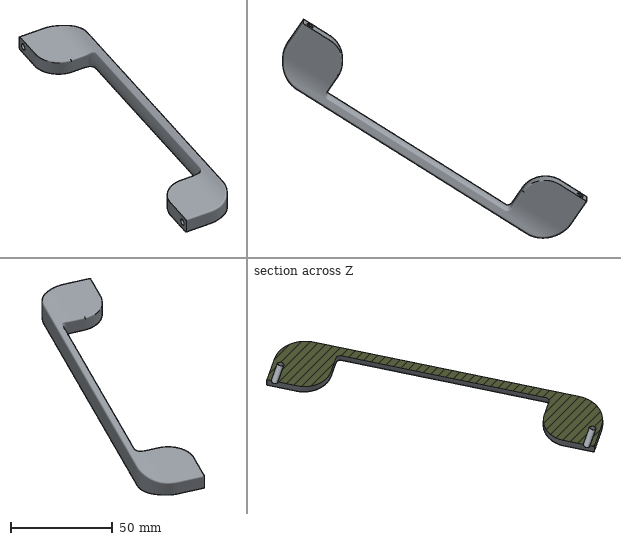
import cadquery as cq
import math

length = 168.0
depth = 30.0
bar_height = 12.0
foot_height = 8.0

outer_corner_radius = 16.0
foot_width = 29.5
foot_corner_radius = 13.75

flat_depth = 19.3
flare_radius = 24.7

grip_crest_y = 24.6
grip_face_radius = 10.0
grip_corner_radius = 2.0

edge_radius = 0.8

fade_start_angle = 3.0
fade_end_angle = 88.0
fade_section_count = 6
fade_clearance = 0.01

hole_spacing = 160.0
hole_diameter = 3.3
hole_depth = 12.0
drill_tip_angle = 118.0

cut_margin = 1.0

half_length = length / 2
half_bar = bar_height / 2
half_foot = foot_height / 2
inner_wall_x = half_length - foot_width
edge_probe_y = flat_depth / 2


def make_flared_body():
    """Flat feet whose upper and lower faces flare along a tangent arc toward the outer face."""
    flare_angle = math.asin((depth - flat_depth) / flare_radius)

    def flare_point(angle):
        y = flat_depth + flare_radius * math.sin(angle)
        z = half_foot + flare_radius * (1 - math.cos(angle))
        return y, z

    mid_y, mid_z = flare_point(flare_angle / 2)
    end_y, end_z = flare_point(flare_angle)
    return (
        cq.Workplane("YZ")
        .moveTo(0, -half_foot)
        .lineTo(flat_depth, -half_foot)
        .threePointArc((mid_y, -mid_z), (end_y, -end_z))
        .lineTo(end_y, end_z)
        .threePointArc((mid_y, mid_z), (flat_depth, half_foot))
        .lineTo(0, half_foot)
        .close()
        .extrude(half_length, both=True)
        .intersect(make_plan_blank())
    )


def make_plan_blank():
    """Plan rectangle with the two outer corners rounded."""
    return (
        cq.Workplane("XY")
        .rect(length, 2 * depth)
        .extrude(bar_height, both=True)
        .edges("|Z and >Y")
        .fillet(outer_corner_radius)
    )


def make_opening():
    """Finger opening between the feet, closed by the convex grip face."""
    half_tool = half_bar + cut_margin
    edge_y = grip_crest_y + grip_face_radius - math.sqrt(grip_face_radius**2 - half_tool**2)
    return (
        cq.Workplane("YZ")
        .moveTo(-cut_margin, -half_tool)
        .lineTo(edge_y, -half_tool)
        .threePointArc((grip_crest_y, 0), (edge_y, half_tool))
        .lineTo(-cut_margin, half_tool)
        .close()
        .extrude(inner_wall_x, both=True)
        .faces(">X or <X")
        .edges("%CIRCLE")
        .fillet(grip_corner_radius)
    )


def round_face_borders(body):
    """Round the outer and the inner border of the upper and lower faces."""
    for wall_x in (half_length, inner_wall_x):
        for face_z in (half_foot, -half_foot):
            border = cq.selectors.NearestToPointSelector((wall_x, edge_probe_y, face_z))
            body = body.edges(border).fillet(edge_radius)
    return body


def make_corner_waste():
    """Waste outside the large rounding at the inner front corner of the +X foot."""
    corner = cq.Workplane("XY").rect(foot_corner_radius, foot_corner_radius, centered=False)
    rounding = (
        cq.Workplane("XY")
        .center(foot_corner_radius, foot_corner_radius)
        .circle(foot_corner_radius)
        .extrude(bar_height, both=True)
    )
    return corner.extrude(bar_height, both=True).cut(rounding).translate((inner_wall_x, 0, 0))


def make_fading_edge_waste():
    """Waste above the edge rounding of that corner, fading out from the wall to the front face."""
    center = cq.Vector(inner_wall_x + foot_corner_radius, foot_corner_radius, half_foot)
    section_path_radius = foot_corner_radius + fade_clearance

    def make_section(angle):
        radius = edge_radius * math.cos(angle)
        outward = cq.Vector(-math.cos(angle), -math.sin(angle), 0)
        backward = cq.Vector(-math.sin(angle), math.cos(angle), 0)
        plane = cq.Plane(origin=center + outward * section_path_radius, xDir=outward, normal=backward)
        arc_setback = radius * (1 - math.sqrt(0.5))
        return (
            cq.Workplane(plane)
            .moveTo(-radius, 0)
            .threePointArc((-arc_setback, -arc_setback), (0, -radius))
            .lineTo(cut_margin, -radius)
            .lineTo(cut_margin, cut_margin)
            .lineTo(-radius, cut_margin)
            .close()
            .wire()
            .val()
        )

    angle_step = (fade_end_angle - fade_start_angle) / (fade_section_count - 1)
    angles = [fade_start_angle + index * angle_step for index in range(fade_section_count)]
    sections = [make_section(math.radians(angle)) for angle in angles]
    return cq.Workplane(cq.Solid.makeLoft(sections))


def round_foot_corners(body):
    """Round the inner front corners of both feet."""
    upper_edge_waste = make_fading_edge_waste()
    waste_parts = [make_corner_waste(), upper_edge_waste, upper_edge_waste.mirror("XY")]
    for waste in waste_parts:
        body = body.cut(waste).cut(waste.mirror("YZ"))
    return body


def make_mounting_hole(center_x):
    """Blind drilled hole with a conical end, entering a foot from the mounting face."""
    radius = hole_diameter / 2
    tip_length = radius / math.tan(math.radians(drill_tip_angle / 2))
    return (
        cq.Workplane("XY", origin=(center_x, 0, 0))
        .lineTo(radius, 0)
        .lineTo(radius, hole_depth)
        .lineTo(0, hole_depth + tip_length)
        .close()
        .revolve(360, (0, 0, 0), (0, 1, 0))
    )


body = make_flared_body().cut(make_opening())
result = round_foot_corners(round_face_borders(body))
for hole_x in (-hole_spacing / 2, hole_spacing / 2):
    result = result.cut(make_mounting_hole(hole_x))